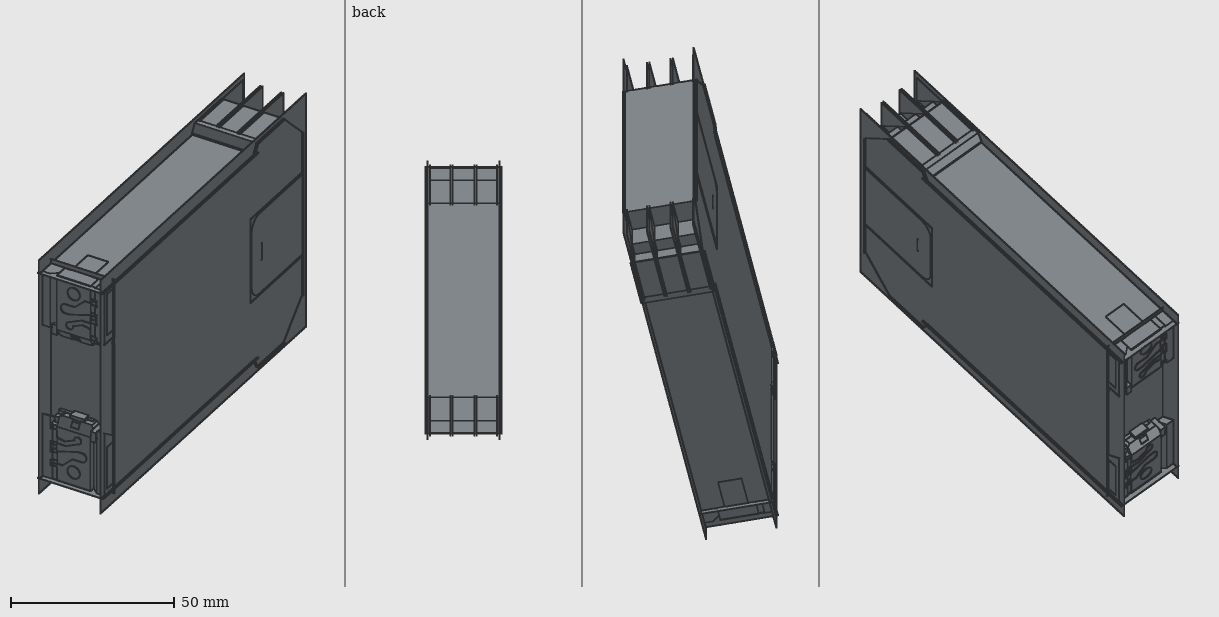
import cadquery as cq

PLATE_LENGTH = 122.9
PLATE_HEIGHT = 85.2
FLANGE_WIDTH = 23.4
SHEET = 0.1
RELIEF = 0.06
ENGRAVING = 0.2

BODY_HALF_WIDTH = 11.13
BACK_Y = 59.1
HEAD_Z = 40.9
BODY_Z = 37.5
FRONT_Y = -54.2
NOSE_Y = -59.1
HEAD_CHAMFER = 11.2
STEP_TOP_Y = 31.8
STEP_FOOT_Y = 30.2
STEP_FOOT_Z = 38.1
CHAMFER_Y = BACK_Y - HEAD_CHAMFER
CHAMFER_Z = HEAD_Z - HEAD_CHAMFER

UPPER_NOSE_Z = 17.7
LOWER_NOSE_FRONT_Z = -14.6
LOWER_NOSE_ROOT_Z = -18.0
GROOVE_Z = 15.6
GROOVE_DEPTH = 0.9

BLOCK_HALF_WIDTH = 6.0
CHANNEL_X = 8.4
CHANNEL_DEPTH = 2.0
CHANNEL_TOP_Z = BODY_Z - SHEET
CHANNEL_END_Z = 19.2
FLAT_CHANNEL_X = 7.6
FLAT_CHANNEL_DEPTH = 0.4
FLAT_CHANNEL_NOTCHES = ((30.5, 32.7), (23.8, 27.7), (UPPER_NOSE_Z, CHANNEL_END_Z))
NOTCH_CORES = ((30.5, 31.8), (25.1, 26.4))
NOTCH_DEPTH = 0.5
NOTCH_SIDE_DEPTH = 0.6
NOTCH_CORE_DEPTH = 0.7
WING_X = 7.9
LIP_Z = 14.5
LIP_Y = -57.2
LIP_TOP_Z = 17.7
LIP_CORNER = 1.0
BACK_PLATE = 1.1
BACK_PLATE_LEFT_X = -4.7
NOTCH_HALF_WIDTH = 1.4
NOTCH_STEP_Z = 15.2
NOTCH_TOP_Z = 16.7


def box(x0, x1, y0, y1, z0, z1):
    """Axis-aligned box between two opposite corners."""
    return cq.Workplane("XY").box(x1 - x0, y1 - y0, z1 - z0, centered=False).translate((x0, y0, z0))


def along_x(points, half_width):
    """Extrude a (y, z) outline equally to both sides of the X centre plane."""
    return cq.Workplane("YZ").polyline(points).close().extrude(half_width, both=True)


def both_heights(shape):
    """The shape together with its mirror image below the Z centre plane."""
    return shape.union(shape.mirror("XY"))


def both_sides(shape):
    """The shape together with its mirror image across the X centre plane."""
    return shape.union(shape.mirror("YZ"))


def opposite(shape):
    """The shape turned half a turn about the Y axis, from the upper nose to the lower one."""
    return shape.rotate((0, 0, 0), (0, 1, 0), 180)


def housing():
    """Body with its stepped and chamfered rear head and two front noses."""
    upper_outline = [
        (FRONT_Y, BODY_Z), (STEP_FOOT_Y, BODY_Z), (STEP_FOOT_Y, STEP_FOOT_Z),
        (STEP_TOP_Y, HEAD_Z), (CHAMFER_Y, HEAD_Z), (BACK_Y, CHAMFER_Z),
    ]
    lower_outline = [(y, -z) for y, z in reversed(upper_outline)]
    upper_nose = [
        (FRONT_Y, BODY_Z), (NOSE_Y, BODY_Z), (NOSE_Y, UPPER_NOSE_Z), (FRONT_Y, UPPER_NOSE_Z),
    ]
    lower_nose = [
        (FRONT_Y, -BODY_Z), (NOSE_Y, -BODY_Z),
        (NOSE_Y, LOWER_NOSE_FRONT_Z), (FRONT_Y, LOWER_NOSE_ROOT_Z),
    ]
    body = along_x(upper_outline + lower_outline, BODY_HALF_WIDTH)
    for nose in (upper_nose, lower_nose):
        body = body.union(along_x(nose, BODY_HALF_WIDTH))
    return body


def front_groove():
    """Groove in the front wall just below the upper nose."""
    reach = FLANGE_WIDTH / 2
    return box(-reach, reach, FRONT_Y - SHEET, FRONT_Y + GROOVE_DEPTH, GROOVE_Z, UPPER_NOSE_Z)


SLOT_RIB = 3.7
RIB_THICKNESS = 0.7
OUTER_SLOT_X = 10.3
SLOT_FRONT_Y = 33.9
SLOT_STEP_Y = 52.0
SLOT_SHALLOW_DEPTH = 0.4
RIB_EDGES = (SLOT_RIB - RIB_THICKNESS / 2, SLOT_RIB + RIB_THICKNESS / 2)
SLOT_SPANS = (
    (-OUTER_SLOT_X, -RIB_EDGES[1]), (-RIB_EDGES[0], RIB_EDGES[0]), (RIB_EDGES[1], OUTER_SLOT_X),
)


def wire_slots():
    """Three slots per side of the head, each with a floor in three flat steps."""
    shelf_z = HEAD_Z - (SLOT_STEP_Y - CHAMFER_Y)
    floors = (
        (SLOT_FRONT_Y, HEAD_Z - SLOT_SHALLOW_DEPTH), (CHAMFER_Y, shelf_z), (SLOT_STEP_Y, CHAMFER_Z),
    )
    clearance = 1.2
    slots = cq.Workplane("XY")
    for x0, x1 in SLOT_SPANS:
        for start_y, floor_z in floors:
            slots = slots.union(box(x0, x1, start_y, BACK_Y + clearance, floor_z, HEAD_Z + clearance))
    return both_heights(slots)


def slot_fins():
    """Thin rectangular fins along the slot walls, rising slightly out of the head."""
    margin = 0.5
    fins = cq.Workplane("XY")
    for x in (*RIB_EDGES, OUTER_SLOT_X):
        fins = fins.union(box(
            x - SHEET / 2, x + SHEET / 2, SLOT_FRONT_Y - margin, BACK_Y + margin,
            CHAMFER_Z - margin, HEAD_Z + margin,
        ))
    return both_heights(both_sides(fins))


def side_plates():
    """Large thin plates along both sides, overhanging the body all round."""
    outer = BODY_HALF_WIDTH - RELIEF
    y = PLATE_LENGTH / 2
    z = PLATE_HEIGHT / 2
    return both_sides(box(outer - SHEET, outer, -y, y, -z, z))


def flanges():
    """Thin overhanging skins on the faces of the housing."""
    reach = FLANGE_WIDTH / 2
    skin_front_y = -60.9
    skin_back_y = 32.1
    front_wall_z = 39.1
    body_top = box(-reach, reach, skin_front_y, skin_back_y, BODY_Z - SHEET, BODY_Z)
    head_top = box(-reach, reach, STEP_TOP_Y, CHAMFER_Y, HEAD_Z - SHEET, HEAD_Z)
    step = along_x([
        (STEP_FOOT_Y, STEP_FOOT_Z), (STEP_TOP_Y, HEAD_Z),
        (STEP_TOP_Y + SHEET, HEAD_Z), (STEP_FOOT_Y + SHEET, STEP_FOOT_Z),
    ], reach)
    front_wall = box(-reach, reach, FRONT_Y, FRONT_Y + SHEET, -front_wall_z, front_wall_z)
    back_wall = box(-reach, reach, BACK_Y - SHEET, BACK_Y, -CHAMFER_Z, CHAMFER_Z)
    return both_heights(body_top.union(head_top).union(step)).union(front_wall).union(back_wall)


def side_windows():
    """Shallow rectangles in the side walls of the noses, down to the side plates."""
    inner = BODY_HALF_WIDTH - RELIEF
    window_front_y = -57.7
    window_bottom_z = 20.4
    window_top_z = 35.5
    window = box(
        inner, BODY_HALF_WIDTH + SHEET, window_front_y, FRONT_Y, window_bottom_z, window_top_z,
    )
    return both_heights(both_sides(window))


def side_labels():
    """Thin label on each side wall, with a rounded raised field and a fingernail notch."""
    front_y = 27.9
    back_y = 59.6
    half_height = 15.2
    border = 0.6
    corner = 4.5
    label_thickness = 0.18
    label_x = BODY_HALF_WIDTH + label_thickness
    field_x = label_x + RELIEF
    notch_y = 34.7
    notch_length = 0.6
    notch_half_height = 3.0
    field_half = half_height - border
    label = box(BODY_HALF_WIDTH - SHEET, label_x, front_y, back_y, -half_height, half_height)
    field = box(BODY_HALF_WIDTH, field_x, front_y + border, BACK_Y - border / 2, -field_half, field_half)
    field = field.edges("|X and <Y").fillet(corner)
    notch = (
        cq.Workplane("XY", origin=(0, 0, -notch_half_height))
        .polyline([(field_x, notch_y - notch_length), (field_x, notch_y), (label_x, notch_y)])
        .close()
        .extrude(2 * notch_half_height)
    )
    return both_sides(label.union(field).cut(notch))


def latch_recess():
    """Shallow rectangular recess at the front of the top and bottom faces."""
    latch_half_width = 3.7
    latch_back_y = -44.4
    return both_heights(box(
        -latch_half_width, latch_half_width, FRONT_Y, latch_back_y, BODY_Z - SHEET, BODY_Z,
    ))


def connector_cover_recess():
    """Outline of the block and its wing in the outer skin above the connector."""
    front_y = -58.9
    block = box(-BLOCK_HALF_WIDTH, BLOCK_HALF_WIDTH, front_y, FRONT_Y, BODY_Z - SHEET, BODY_Z)
    wing = box(BLOCK_HALF_WIDTH, WING_X, front_y, FRONT_Y, BODY_Z - RELIEF, BODY_Z)
    return block.union(wing)


def connector_channels():
    """Tapered channel at the -X side of the block, flat channel with three notches at +X."""
    tapered = (
        cq.Workplane("XY", origin=(0, 0, UPPER_NOSE_Z))
        .polyline([
            (-CHANNEL_X, NOSE_Y), (-BLOCK_HALF_WIDTH, NOSE_Y),
            (-BLOCK_HALF_WIDTH, NOSE_Y + CHANNEL_DEPTH),
        ])
        .close()
        .extrude(CHANNEL_TOP_Z - UPPER_NOSE_Z)
    )
    flat = box(
        BLOCK_HALF_WIDTH, FLAT_CHANNEL_X, NOSE_Y, NOSE_Y + FLAT_CHANNEL_DEPTH, CHANNEL_END_Z, CHANNEL_TOP_Z,
    )
    cuts = tapered.union(flat)
    for z0, z1 in FLAT_CHANNEL_NOTCHES:
        cuts = cuts.union(box(BLOCK_HALF_WIDTH, FLAT_CHANNEL_X, NOSE_Y, NOSE_Y + NOTCH_DEPTH, z0, z1))
        cuts = cuts.union(box(FLAT_CHANNEL_X, CHANNEL_X, NOSE_Y, NOSE_Y + NOTCH_SIDE_DEPTH, z0, z1))
    for z0, z1 in NOTCH_CORES:
        cuts = cuts.union(box(BLOCK_HALF_WIDTH, FLAT_CHANNEL_X, NOSE_Y, NOSE_Y + NOTCH_CORE_DEPTH, z0, z1))
    return cuts


def lip_groove(depth, z0, z1):
    """Groove of the given depth in the sloped lip face, between two heights on that face."""
    run = (LIP_Y - NOSE_Y) / (LIP_TOP_Z - LIP_Z)
    y0 = NOSE_Y + (LIP_TOP_Z - z0) * run
    y1 = NOSE_Y + (LIP_TOP_Z - z1) * run
    return along_x([(y0, z0), (y1, z1), (y1 + depth, z1), (y0 + depth, z0)], NOTCH_HALF_WIDTH)


def connector_lip():
    """Sloped lower lip of the block with a stepped notch, a back plate and two wings."""
    lip = along_x([
        (FRONT_Y, LIP_TOP_Z), (NOSE_Y, LIP_TOP_Z), (LIP_Y, LIP_Z), (FRONT_Y, LIP_Z),
    ], BLOCK_HALF_WIDTH)
    lip = lip.edges("|Y and <Z").chamfer(LIP_CORNER / 2, LIP_CORNER)
    lip = lip.cut(lip_groove(ENGRAVING, LIP_Z, NOTCH_STEP_Z))
    lip = lip.cut(lip_groove(ENGRAVING / 2, NOTCH_STEP_Z, NOTCH_TOP_Z))
    back_plate = box(
        BACK_PLATE_LEFT_X, FLAT_CHANNEL_X, FRONT_Y - BACK_PLATE, FRONT_Y, LIP_Z - ENGRAVING, LIP_TOP_Z,
    )
    flat_wing = box(BLOCK_HALF_WIDTH, WING_X, LIP_Y, FRONT_Y, GROOVE_Z, LIP_TOP_Z)
    tapered_wing = box(-WING_X, -BLOCK_HALF_WIDTH, NOSE_Y + SHEET, FRONT_Y, GROOVE_Z, CHANNEL_END_Z)
    return lip.union(back_plate).union(flat_wing).union(tapered_wing)


def connector_engraving():
    """Round opening and the two clamp-spring outlines in the face of the block."""
    def face():
        return cq.Workplane("XZ", origin=(0, NOSE_Y, 0))

    opening_z = 32.6
    opening_radius = 2.2
    edge = BLOCK_HALF_WIDTH
    opening = face().center(0, opening_z).circle(opening_radius).extrude(-ENGRAVING)
    large_spring = (
        face().moveTo(edge, 31.2).lineTo(4.0, 31.3).lineTo(0.4, 27.9).lineTo(-3.2, 27.9)
        .threePointArc((-4.5, 26.2), (-3.5, 24.6))
        .lineTo(-1.5, 24.6).lineTo(edge, 26.9).close().extrude(-ENGRAVING)
    )
    small_spring = (
        face().moveTo(edge, 23.8).lineTo(2.8, 23.8).lineTo(-2.0, 21.6)
        .threePointArc((-1.7, 19.3), (-0.2, 20.8))
        .lineTo(3.1, 22.3).lineTo(5.4, 21.9).lineTo(edge, 21.5).close().extrude(-ENGRAVING)
    )
    return opening.union(large_spring).union(small_spring)


def lower_hook_gap():
    """Gap in the hooked edge of the lower nose that leaves room for the connector lip."""
    return box(-CHANNEL_X, CHANNEL_X, NOSE_Y, FRONT_Y, -LIP_TOP_Z, LOWER_NOSE_FRONT_Z)


def lower_tab():
    """Flat tab standing on the lower connector lip."""
    half_width = 2.6
    tab_top_z = -13.5
    return box(-half_width, half_width, LIP_Y + SHEET, FRONT_Y, -LIP_TOP_Z, tab_top_z)


connector_cuts = connector_channels().union(connector_engraving()).union(connector_cover_recess())

result = housing().cut(wire_slots()).cut(side_windows()).cut(lower_hook_gap())
for addition in (side_plates(), flanges(), slot_fins(), side_labels()):
    result = result.union(addition)
for cut in (front_groove(), latch_recess(), connector_cuts, opposite(connector_cuts)):
    result = result.cut(cut)
for addition in (connector_lip(), opposite(connector_lip()), lower_tab()):
    result = result.union(addition)